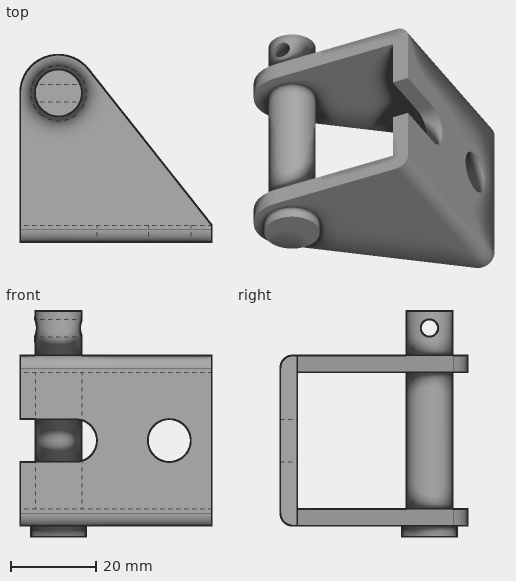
import cadquery as cq
import math

width = 45.0
height = 40.0
thickness = 4.0
bend_radius = 3.0

pin_x = 9.0
pin_y = 35.0
ear_radius = pin_x
ear_tip_y = thickness

opening_diameter = 10.0
opening_z = height / 2
slot_end_x = 13.0
hole_x = 35.0

pin_diameter = 11.0
head_diameter = 13.0
head_height = 2.6
pin_projection = 10.4
cross_hole_diameter = 4.0
cross_hole_from_top = 4.0


def tangent_point():
    """Point where the slanted edge from the ear tip touches the ear round."""
    dx = width - pin_x
    dy = ear_tip_y - pin_y
    angle = math.atan2(dy, dx) + math.acos(ear_radius / math.hypot(dx, dy))
    return (pin_x + ear_radius * math.cos(angle), pin_y + ear_radius * math.sin(angle))


def make_ear_outline():
    """Prism with the ear outline over the full bracket height."""
    return (
        cq.Workplane("XY")
        .lineTo(width, 0)
        .lineTo(width, ear_tip_y)
        .lineTo(*tangent_point())
        .threePointArc((pin_x, pin_y + ear_radius), (pin_x - ear_radius, pin_y))
        .close()
        .extrude(height)
    )


def make_bracket():
    """Channel with rounded outer bends and sharp inner corners."""
    depth = pin_y + ear_radius
    cavity = cq.Workplane("XY").box(
        width, depth, height - 2 * thickness, centered=False
    ).translate((0, thickness, thickness))
    blank = make_ear_outline().edges("|X and <Y").fillet(bend_radius)
    return blank.cut(cavity)


def make_web_openings():
    """Slot open at X = 0 and a round hole, both through the web."""
    opening_radius = opening_diameter / 2
    rounds = (
        cq.Workplane("XZ")
        .pushPoints([(slot_end_x, opening_z), (hole_x, opening_z)])
        .circle(opening_radius)
        .extrude(-thickness)
    )
    slot = cq.Workplane("XY").box(
        slot_end_x, thickness, opening_diameter, centered=False
    ).translate((0, 0, opening_z - opening_radius))
    return rounds.union(slot)


def make_pin():
    """Headed pin through both ears, cross-drilled along X near its top."""
    top = height + pin_projection
    pin = (
        cq.Workplane("XY", origin=(pin_x, pin_y, -head_height))
        .circle(head_diameter / 2)
        .extrude(head_height)
        .faces(">Z")
        .workplane()
        .circle(pin_diameter / 2)
        .extrude(top)
    )
    cross_hole = (
        cq.Workplane("YZ")
        .center(pin_y, top - cross_hole_from_top)
        .circle(cross_hole_diameter / 2)
        .extrude(2 * pin_x)
    )
    return pin.cut(cross_hole)


result = make_bracket().cut(make_web_openings()).union(make_pin())